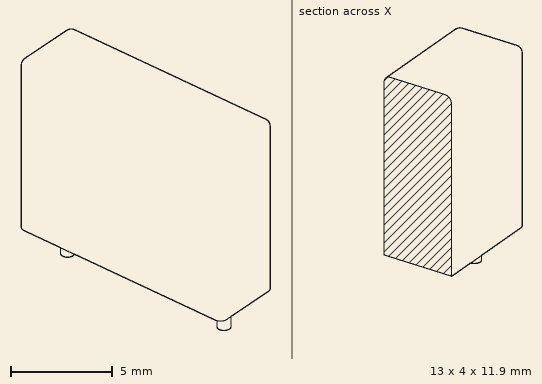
import cadquery as cq

body_length = 13.0
body_width = 4.0
body_height = 10.0
edge_radius = 0.4

lead_diameter = 0.7
lead_pitch = 10.0
lead_length = 1.9


def make_body():
    """Block with rounded vertical and top edges and a sharp bottom rim."""
    block = cq.Workplane("XY").box(
        body_length, body_width, body_height, centered=(True, True, False)
    )
    return block.edges("|Z or >Z").fillet(edge_radius)


def make_lead(x):
    """Round lead hanging below the body at the given X."""
    return cq.Workplane("XY").center(x, 0).circle(lead_diameter / 2).extrude(-lead_length)


result = make_body()
for side in (-1, 1):
    result = result.union(make_lead(side * lead_pitch / 2))